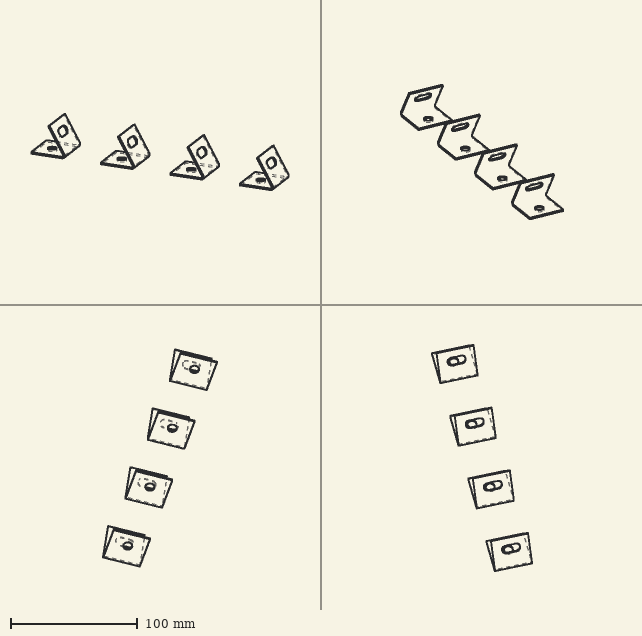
import cadquery as cq
import math

bracket_count = 4
row_length = 209.0
bracket_pitch = 60.0
bracket_length = row_length - (bracket_count - 1) * bracket_pitch
bracket_width = 30.0
bracket_height = 26.0

thickness = 1.5
inner_radius = 1.0
outer_radius = inner_radius + thickness
leg_angle = math.radians(60)

hole_diameter = 7.1
hole_x = 11.5
slot_length = 14.6
slot_width = 7.1
slot_distance = 15.5

leg_direction = (-math.cos(leg_angle), math.sin(leg_angle))
outward_normal = (math.sin(leg_angle), math.cos(leg_angle))

bend_x = bracket_length - outer_radius
bend_z = outer_radius
leg_length = (bracket_height - bend_z - outer_radius * outward_normal[1]) / leg_direction[1]


def leg_point(radius, distance):
    """Point at a radius from the bend axis and a distance along the leg."""
    return (
        bend_x + radius * outward_normal[0] + distance * leg_direction[0],
        bend_z + radius * outward_normal[1] + distance * leg_direction[1],
    )


def make_bent_sheet():
    """Flat base, rounded bend and leg leaning back over the base."""
    return (
        cq.Workplane("XZ")
        .moveTo(0, 0)
        .lineTo(bend_x, 0)
        .threePointArc((bend_x + outer_radius, bend_z), leg_point(outer_radius, 0))
        .lineTo(*leg_point(outer_radius, leg_length))
        .lineTo(*leg_point(inner_radius, leg_length))
        .lineTo(*leg_point(inner_radius, 0))
        .threePointArc((bend_x + inner_radius, bend_z), (bend_x, thickness))
        .lineTo(0, thickness)
        .close()
        .extrude(bracket_width / 2, both=True)
    )


def make_base_hole():
    """Cutter for the round hole through the base."""
    return cq.Workplane("XY").center(hole_x, 0).circle(hole_diameter / 2).extrude(thickness)


def make_leg_slot():
    """Cutter for the slot through the leg, square to its faces and long in Y."""
    x, z = leg_point(inner_radius, slot_distance)
    slot_plane = cq.Plane(
        origin=(x, 0, z),
        xDir=(0, 1, 0),
        normal=(outward_normal[0], 0, outward_normal[1]),
    )
    return cq.Workplane(slot_plane).slot2D(slot_length, slot_width).extrude(thickness)


def make_bracket(x):
    """One bracket with the free edge of its base at the given X."""
    bracket = make_bent_sheet().cut(make_base_hole()).cut(make_leg_slot())
    return bracket.translate((x, 0, 0))


brackets = [make_bracket(index * bracket_pitch) for index in range(bracket_count)]

result = cq.Compound.makeCompound([bracket.val() for bracket in brackets])